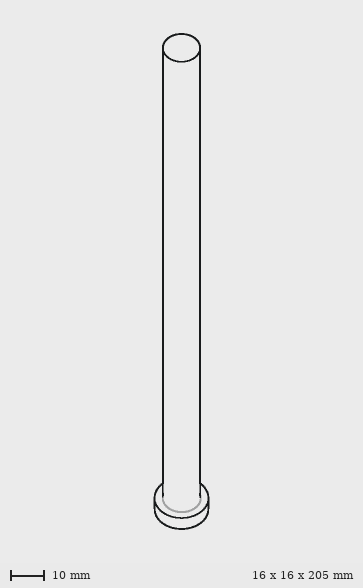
import cadquery as cq

total_length = 205.0
head_diameter = 16.0
head_height = 5.0
shank_diameter = 11.0
fillet_radius = 0.2

head = cq.Workplane("XY").circle(head_diameter / 2).extrude(head_height)
shank = cq.Workplane("XY").circle(shank_diameter / 2).extrude(total_length)

root_corner = cq.selectors.RadiusNthSelector(0)
result = head.union(shank)
result = result.faces("<Z[-2]").edges(root_corner).fillet(fillet_radius)